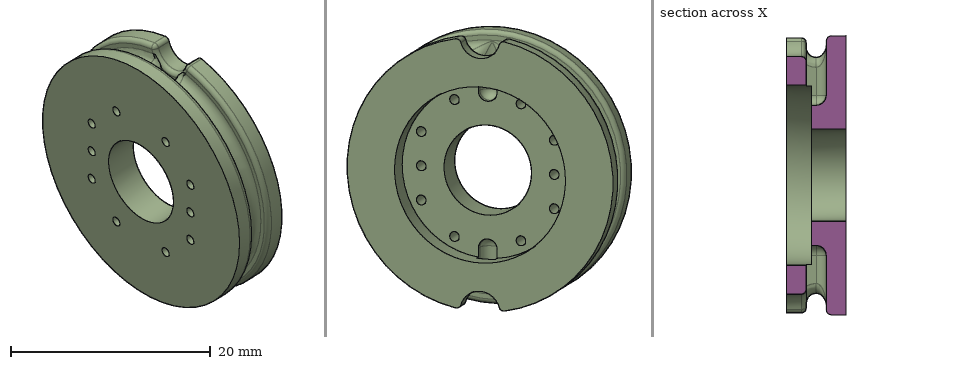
import cadquery as cq
import math

tolerance = 0.01

wheel_radius = 14.0
wheel_width = 6.0
bore_radius = 4.6

groove_radius = 1.0
groove_depth = 2.0
groove_center_y = wheel_width / 2
groove_front_y = groove_center_y - groove_radius
groove_back_y = groove_center_y + groove_radius
groove_floor_radius = wheel_radius - groove_depth
groove_core_radius = groove_floor_radius + groove_radius
rim_fillet = 0.5

recess_floor_y = 3.5
recess_radius = 9.0

notch_radius = 2.1
notch_center_z = wheel_radius

passage_radius = 0.98
passage_axis_z = recess_radius - passage_radius
passage_mouth_fillet = 1.0

screw_hole_radius = 0.5
screw_near = 3.5
screw_far = 7.0
screw_positions = []
for side in (-screw_far, screw_far):
    screw_positions += [(side, z) for z in (-screw_near, 0, screw_near)]
    screw_positions += [(x, side) for x in (-screw_near, screw_near)]


def y_cylinder(radius, y_start, y_end, x=0.0, z=0.0):
    """Cylinder along Y between two Y positions."""
    start = cq.Vector(x, y_start, z)
    return cq.Workplane(cq.Solid.makeCylinder(radius, y_end - y_start, start, cq.Vector(0, 1, 0)))


def both_ends(shape):
    """The shape and its copy turned half a revolution about Y."""
    return [shape, shape.rotate((0, 0, 0), (0, 1, 0), 180)]


def axis_distance(edge):
    """Distance from the wheel axis to the middle of an edge."""
    middle = edge.positionAt(0.5)
    return math.hypot(middle.x, middle.z)


def make_grooved_wheel():
    """Plain disc with the rope groove, revolved about Y."""
    return (
        cq.Workplane("XY")
        .lineTo(wheel_radius, 0)
        .lineTo(wheel_radius, groove_front_y)
        .lineTo(groove_core_radius, groove_front_y)
        .threePointArc((groove_floor_radius, groove_center_y), (groove_core_radius, groove_back_y))
        .lineTo(wheel_radius, groove_back_y)
        .lineTo(wheel_radius, wheel_width)
        .lineTo(0, wheel_width)
        .close()
        .revolve(360, (0, 0, 0), (0, 1, 0))
    )


def make_passage():
    """Radial U-shaped slot, open toward +Y, ending inward in a trough with a ball end."""
    shaft = (
        cq.Workplane("XY", origin=(0, 0, passage_axis_z))
        .moveTo(-passage_radius, wheel_width)
        .lineTo(-passage_radius, groove_center_y)
        .threePointArc((0, groove_center_y - passage_radius), (passage_radius, groove_center_y))
        .lineTo(passage_radius, wheel_width)
        .close()
        .extrude(wheel_radius - passage_axis_z)
    )
    trough = y_cylinder(passage_radius, groove_center_y, wheel_width, z=passage_axis_z)
    ball_end = cq.Workplane("XY").sphere(passage_radius).translate((0, groove_center_y, passage_axis_z))
    return shaft.union(trough).union(ball_end)


def is_passage_mouth(edge):
    """True for edges where a passage opens into the groove or through the groove's back wall."""
    middle = edge.positionAt(0.5)
    on_passage = abs(middle.x) < passage_radius + tolerance
    near_rim = groove_floor_radius - passage_radius < axis_distance(edge) < wheel_radius - tolerance
    return on_passage and near_rim and middle.y < groove_back_y + tolerance


def is_front_rim(edge):
    """True for the outer edge of the front flange beside the groove."""
    on_rim = axis_distance(edge) > wheel_radius - tolerance
    return on_rim and abs(edge.Center().y - groove_front_y) < tolerance


def make_core():
    """Front flange, groove and flared passages, up to the back wall of the groove."""
    core = make_grooved_wheel().cut(y_cylinder(recess_radius, recess_floor_y, wheel_width))
    for passage in both_ends(make_passage()):
        core = core.cut(passage)
    mouth_edges = [edge for edge in core.edges().vals() if is_passage_mouth(edge)]
    core = core.newObject(mouth_edges).fillet(passage_mouth_fillet)
    core = core.cut(y_cylinder(wheel_radius, groove_back_y, wheel_width))
    rim_edges = [edge for edge in core.edges().vals() if is_front_rim(edge)]
    return core.newObject(rim_edges).fillet(rim_fillet)


def make_back_flange():
    """Ring behind the groove with two notches, rounded on the groove side and at the notch corners."""
    flange = y_cylinder(wheel_radius, groove_back_y, wheel_width)
    flange = flange.cut(y_cylinder(recess_radius, groove_back_y, wheel_width))
    for notch in both_ends(y_cylinder(notch_radius, groove_back_y, wheel_width, z=notch_center_z)):
        flange = flange.cut(notch)
    candidates = flange.faces("<Y").edges().vals() + flange.edges("|Y").vals()
    outer_edges = [edge for edge in candidates if axis_distance(edge) > recess_radius + tolerance]
    return flange.newObject(outer_edges).fillet(rim_fillet)


result = make_core().union(make_back_flange())
result = result.cut(y_cylinder(bore_radius, 0, wheel_width))
for hole_x, hole_z in screw_positions:
    result = result.cut(y_cylinder(screw_hole_radius, 0, wheel_width, hole_x, hole_z))
result = result.solids()